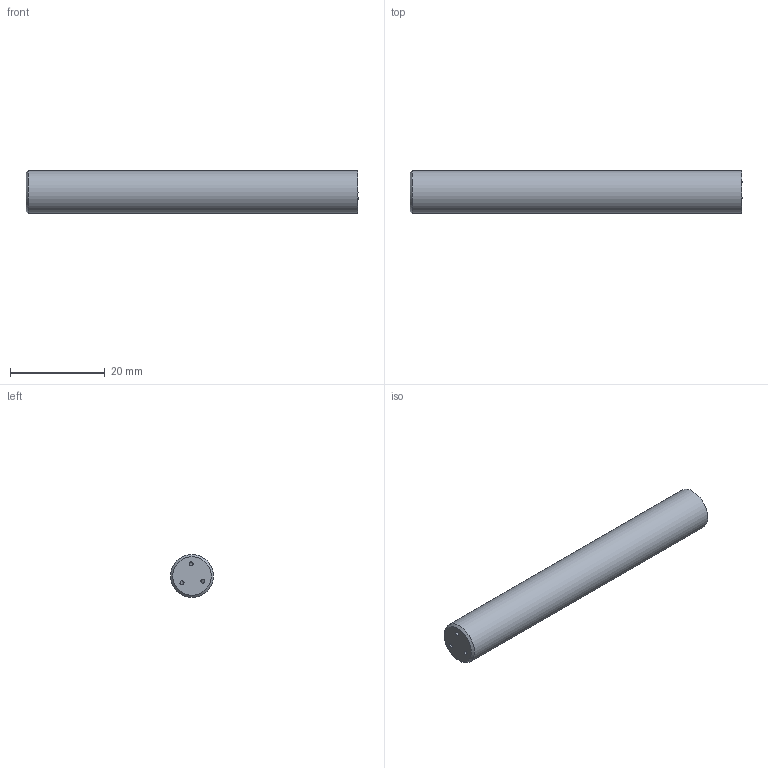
import cadquery as cq
import math

length = 70.0
diameter = 9.0
chamfer = 0.45

channel_count = 3
channel_diameter = 0.85
channel_circle_radius = 2.55
first_channel_angle = 85.5
helix_lead = 50.0
twist = 360.0 * length / helix_lead


def make_rod():
    rod = cq.Workplane("YZ").circle(diameter / 2).extrude(length)
    return rod.faces("<X").edges().chamfer(chamfer)


def make_channel(angle):
    """Helical channel that starts at the given angle and winds about the rod axis."""
    y = channel_circle_radius * math.cos(math.radians(angle))
    z = channel_circle_radius * math.sin(math.radians(angle))
    profile = cq.Workplane("YZ").pushPoints([(y, z)]).circle(channel_diameter / 2)
    return profile.twistExtrude(length, twist)


result = make_rod()
for index in range(channel_count):
    channel_angle = first_channel_angle + index * 360.0 / channel_count
    result = result.cut(make_channel(channel_angle))